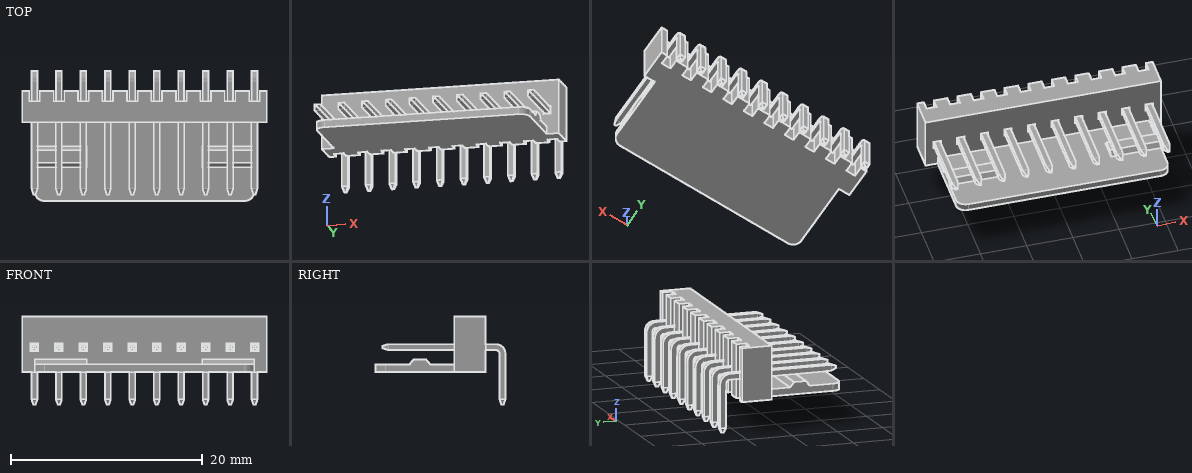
import cadquery as cq


pin_count = 10
pin_pitch = 2.55
housing_length = pin_count * pin_pitch
housing_depth = 3.28
housing_height = 5.8
notch_size = 1.07

plate_length = 22.8
plate_reach = 8.18
plate_thickness = 0.8
plate_corner_radius = 1.02

ridge_length = 5.38
ridge_height = 0.53
ridge_top_width = 1.3
ridge_slope_run = 0.45
ridge_gap = 2.46

pin_width = 0.64
pin_axis_height = 2.6
pin_reach = 7.5
leg_back = 2.05
leg_drop = 3.4
mating_tip_length = 0.64
leg_tip_length = 0.55
tip_width = 0.23
bend_outer_radius = 1.02
bend_inner_radius = bend_outer_radius - pin_width

mouth_width = 0.85
mouth_depth = (mouth_width - pin_width) / 2

pin_positions = [(i - (pin_count - 1) / 2) * pin_pitch for i in range(pin_count)]


def square_taper(plane, start_width, end_width, length):
    """Square frustum growing along the normal of the plane."""
    return (
        cq.Workplane(plane)
        .rect(start_width, start_width)
        .workplane(offset=length)
        .rect(end_width, end_width)
        .loft(ruled=True)
    )


def mating_plane(x, y):
    """Plane across the pin axis at depth y, with its normal pointing to -Y."""
    return cq.Plane(origin=(x, y, pin_axis_height), xDir=(1, 0, 0), normal=(0, -1, 0))


def make_housing():
    housing = cq.Workplane("XY").box(
        housing_length, housing_depth, housing_height, centered=(True, False, False)
    )
    for x in pin_positions:
        notch = (
            cq.Workplane("XY")
            .box(notch_size, notch_size, housing_height, centered=(True, False, False))
            .translate((x, housing_depth - notch_size, 0))
        )
        mouth = square_taper(mating_plane(x, mouth_depth), pin_width, mouth_width, mouth_depth)
        housing = housing.cut(notch).cut(mouth)
    return housing


def make_plate():
    return (
        cq.Workplane("XY")
        .box(plate_length, plate_reach, plate_thickness, centered=(True, False, False))
        .translate((0, -plate_reach, 0))
        .edges("|Z and <Y")
        .fillet(plate_corner_radius)
    )


def make_ridge(x_start):
    """Trapezoidal ridge on the plate, running towards +X from x_start."""
    foot_back = -ridge_gap
    top_back = foot_back - ridge_slope_run
    top_front = top_back - ridge_top_width
    foot_front = top_front - ridge_slope_run
    ridge_top = plate_thickness + ridge_height
    return (
        cq.Workplane("YZ", origin=(x_start, 0, 0))
        .polyline([
            (foot_back, plate_thickness),
            (top_back, ridge_top),
            (top_front, ridge_top),
            (foot_front, plate_thickness),
        ])
        .close()
        .extrude(ridge_length)
    )


def make_pin(x):
    """L-shaped square pin with a rounded bend and both ends tapered."""
    axis_top = pin_axis_height + pin_width / 2
    axis_bottom = pin_axis_height - pin_width / 2
    leg_outer = housing_depth + leg_back
    leg_inner = leg_outer - pin_width
    shank_front = mating_tip_length - pin_reach
    shank_bottom = leg_tip_length - leg_drop
    shank = (
        cq.Workplane("YZ", origin=(x - pin_width / 2, 0, 0))
        .moveTo(shank_front, axis_top)
        .lineTo(leg_outer - bend_outer_radius, axis_top)
        .radiusArc((leg_outer, axis_top - bend_outer_radius), bend_outer_radius)
        .lineTo(leg_outer, shank_bottom)
        .lineTo(leg_inner, shank_bottom)
        .lineTo(leg_inner, axis_bottom - bend_inner_radius)
        .radiusArc((leg_inner - bend_inner_radius, axis_bottom), -bend_inner_radius)
        .lineTo(shank_front, axis_bottom)
        .close()
        .extrude(pin_width)
    )
    leg_plane = cq.Plane(
        origin=(x, leg_outer - pin_width / 2, shank_bottom), xDir=(1, 0, 0), normal=(0, 0, -1)
    )
    mating_tip = square_taper(mating_plane(x, shank_front), pin_width, tip_width, mating_tip_length)
    leg_tip = square_taper(leg_plane, pin_width, tip_width, leg_tip_length)
    return shank.union(mating_tip).union(leg_tip)


result = make_housing().union(make_plate())
for ridge_start in (-plate_length / 2, plate_length / 2 - ridge_length):
    result = result.union(make_ridge(ridge_start))
for pin_x in pin_positions:
    result = result.union(make_pin(pin_x))